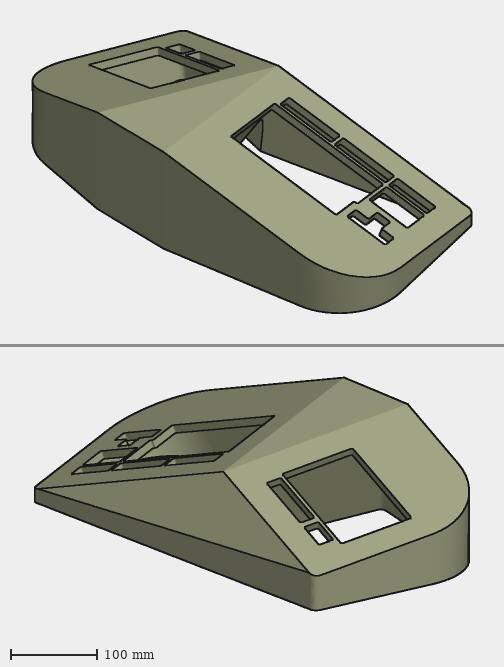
import cadquery as cq
import math


APEX = cq.Vector(0, 244.0, 108.5)
PANEL_DEPTH = 251.0
PANEL_PITCH = 7.7
FRONT_RADIUS = 89.0
BACK_RADIUS = 9.5

REACH = 322

PLATE = 10.0
MARGIN = 15.0
FRONT_MARGIN = 33.0
HOLLOW_RADIUS = 7.0

LEFT_WIDTH = 203.0
LEFT_TURN = 10.5
LEFT_DROP = 18.9

RIGHT_WIDTH = 293.0
RIGHT_TURN = 9.6
RIGHT_DROP = 18.5

KEY = 19.5
GAP = 5.0
OPENING_RADIUS = 2.0
ROW_START = 35.0
SCREEN_START = ROW_START + KEY + GAP
SCREEN_END = 154.5
SCREEN_INNER = 35.0
ROW_INNER = 40.0
LONG_KEYS = 76.0

LEFT_SCREEN_OUTER = LEFT_WIDTH - SCREEN_INNER
SHORT_KEYS_INNER = 124.0
SHORT_KEYS_WIDTH = 34.0

RIGHT_SCREEN_OUTER = 197.0
SCREEN_STEP = 5.0
SCREEN_STEP_START = 115.5
PAD_INNER = RIGHT_SCREEN_OUTER + GAP
PAD_WIDTH = 57.0
PAD_HEIGHT = 37.5
ARROWS_START = 106.5
ARROWS_BAR_START = ARROWS_START + KEY


def panel_plane(side, turn, drop):
    """Plane on the panel surface: origin at the apex, normal upwards; side is -1 left, +1 right."""
    turn, drop, pitch = (math.radians(angle) for angle in (turn, drop, PANEL_PITCH))
    outward = cq.Vector(
        side * math.cos(turn) * math.cos(drop), math.sin(turn) * math.cos(drop), -math.sin(drop)
    )
    level_forward = cq.Vector(side * math.sin(turn), -math.cos(turn), 0)
    unpitched_up = outward.cross(level_forward) * -side
    forward = level_forward * math.cos(pitch) + unpitched_up * math.sin(pitch)
    return cq.Plane(APEX, outward * side, forward.cross(outward) * side)


def panel_outline(plane, side, width):
    """Rectangle with rounded outer corners, square along the ridge beside the centre."""
    return (
        cq.Workplane(plane)
        .lineTo(side * (width - BACK_RADIUS), 0)
        .radiusArc((side * width, -BACK_RADIUS), side * BACK_RADIUS)
        .lineTo(side * width, FRONT_RADIUS - PANEL_DEPTH)
        .radiusArc((side * (width - FRONT_RADIUS), -PANEL_DEPTH), side * FRONT_RADIUS)
        .lineTo(0, -PANEL_DEPTH)
        .close()
        .wire()
        .val()
    )


def drop_to_floor(outline):
    """Solid from a tilted outline straight down to the floor at Z = 0."""
    column = cq.Workplane(cq.Solid.extrudeLinear(outline, [], cq.Vector(0, 0, -REACH)))
    room = cq.Workplane().box(4 * REACH, 4 * REACH, REACH, centered=(True, True, False))
    return column.intersect(room)


def hollow(plane, side, width):
    """Cutter for the space below a panel; it leans with the panel and runs out through the floor."""
    outer = width - MARGIN
    front = PANEL_DEPTH - FRONT_MARGIN
    points = [(side * u, -v) for u, v in rectangle(MARGIN, MARGIN, outer, front)]
    block = cq.Workplane(plane).workplane(offset=-PLATE).polyline(points).close().extrude(-REACH)
    upright = cq.selectors.ParallelDirSelector(plane.zDir)
    front_corner_middle = plane.toWorldCoords((side * outer, -front, -PLATE - REACH / 2))
    front_corner = cq.selectors.NearestToPointSelector(front_corner_middle.toTuple())
    block = block.edges(upright - front_corner).fillet(HOLLOW_RADIUS)
    return block.edges(front_corner).fillet(FRONT_RADIUS - MARGIN)


def triangle(*corners):
    return cq.Wire.makePolygon(corners, close=True)


def opening(plane, side, outline):
    """Cutter through the panel for an outline of (u, v) points, with rounded corners."""
    points = [(side * u, -v) for u, v in outline]
    depth = 1.5 * PLATE
    cutter = cq.Workplane(plane).workplane(offset=-depth).polyline(points).close().extrude(2 * depth)
    return cutter.edges(cq.selectors.ParallelDirSelector(plane.zDir)).fillet(OPENING_RADIUS)


def rectangle(inner, start, outer, end):
    return [(inner, start), (outer, start), (outer, end), (inner, end)]


def row_opening(inner, width):
    return rectangle(inner, ROW_START, inner + width, ROW_START + KEY)


left_plane = panel_plane(-1, LEFT_TURN, LEFT_DROP)
right_plane = panel_plane(1, RIGHT_TURN, RIGHT_DROP)

front_left = left_plane.toWorldCoords((0, -PANEL_DEPTH))
front_right = right_plane.toWorldCoords((0, -PANEL_DEPTH))
back_left = left_plane.toWorldCoords((BACK_RADIUS - LEFT_WIDTH, 0))
back_right = right_plane.toWorldCoords((RIGHT_WIDTH - BACK_RADIUS, 0))

body = (
    drop_to_floor(panel_outline(left_plane, -1, LEFT_WIDTH))
    .union(drop_to_floor(panel_outline(right_plane, 1, RIGHT_WIDTH)))
    .union(drop_to_floor(triangle(APEX, front_left, front_right)))
    .union(drop_to_floor(triangle(APEX, back_right, back_left)))
)
result = (
    body
    .cut(hollow(left_plane, -1, LEFT_WIDTH))
    .cut(hollow(right_plane, 1, RIGHT_WIDTH))
)

left_openings = [
    rectangle(SCREEN_INNER, SCREEN_START, LEFT_SCREEN_OUTER, SCREEN_END),
    row_opening(ROW_INNER, LONG_KEYS),
    row_opening(SHORT_KEYS_INNER, SHORT_KEYS_WIDTH),
]

stepped_screen = [
    (SCREEN_INNER, SCREEN_START),
    (RIGHT_SCREEN_OUTER, SCREEN_START),
    (RIGHT_SCREEN_OUTER, SCREEN_STEP_START),
    (RIGHT_SCREEN_OUTER - SCREEN_STEP, SCREEN_STEP_START),
    (RIGHT_SCREEN_OUTER - SCREEN_STEP, SCREEN_END),
    (SCREEN_INNER, SCREEN_END),
]
pad_outer = PAD_INNER + PAD_WIDTH
stem_inner = PAD_INNER + (PAD_WIDTH - KEY) / 2
arrow_keys = [
    (stem_inner, ARROWS_START),
    (stem_inner + KEY, ARROWS_START),
    (stem_inner + KEY, ARROWS_BAR_START),
    (pad_outer, ARROWS_BAR_START),
    (pad_outer, ARROWS_BAR_START + KEY),
    (PAD_INNER, ARROWS_BAR_START + KEY),
    (PAD_INNER, ARROWS_BAR_START),
    (stem_inner, ARROWS_BAR_START),
]
right_openings = [
    stepped_screen,
    row_opening(ROW_INNER, LONG_KEYS),
    row_opening(ROW_INNER + LONG_KEYS + GAP, LONG_KEYS),
    row_opening(PAD_INNER, PAD_WIDTH),
    rectangle(PAD_INNER, SCREEN_START, pad_outer, SCREEN_START + PAD_HEIGHT),
    arrow_keys,
]

for outline in left_openings:
    result = result.cut(opening(left_plane, -1, outline))
for outline in right_openings:
    result = result.cut(opening(right_plane, 1, outline))